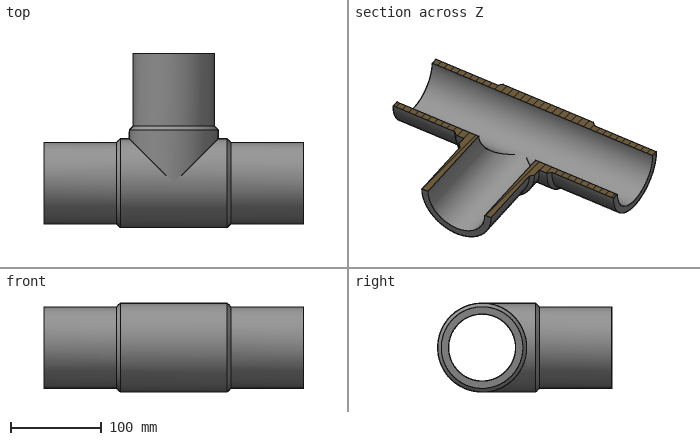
import cadquery as cq

pipe_diameter = 90.0
body_diameter = 98.2
bore_diameter = 73.6
center_to_end = 143.0
spigot_length = 80.0

body_reach = center_to_end - spigot_length
body_chamfer = (body_diameter - pipe_diameter) / 2

run_plane = cq.Plane(origin=(0, 0, 0), xDir=(0, 1, 0), normal=(1, 0, 0))
branch_plane = cq.Plane(origin=(0, 0, 0), xDir=(1, 0, 0), normal=(0, 1, 0))


def run_cylinder(diameter, reach):
    """Cylinder along X, reaching equally far to both sides of the center."""
    return cq.Workplane(run_plane).circle(diameter / 2).extrude(reach, both=True)


def branch_cylinder(diameter, reach):
    """Cylinder along +Y, starting on the run axis."""
    return cq.Workplane(branch_plane).circle(diameter / 2).extrude(reach)


def make_body():
    """Thick tee body, chamfered down to the pipe diameter at its three mouths."""
    run = run_cylinder(body_diameter, body_reach).faces("<X or >X").chamfer(body_chamfer)
    branch = branch_cylinder(body_diameter, body_reach).faces(">Y").chamfer(body_chamfer)
    return run.union(branch)


def make_tee(diameter):
    """Tee of constant diameter that reaches all three pipe ends."""
    return run_cylinder(diameter, center_to_end).union(branch_cylinder(diameter, center_to_end))


result = make_body().union(make_tee(pipe_diameter)).cut(make_tee(bore_diameter))